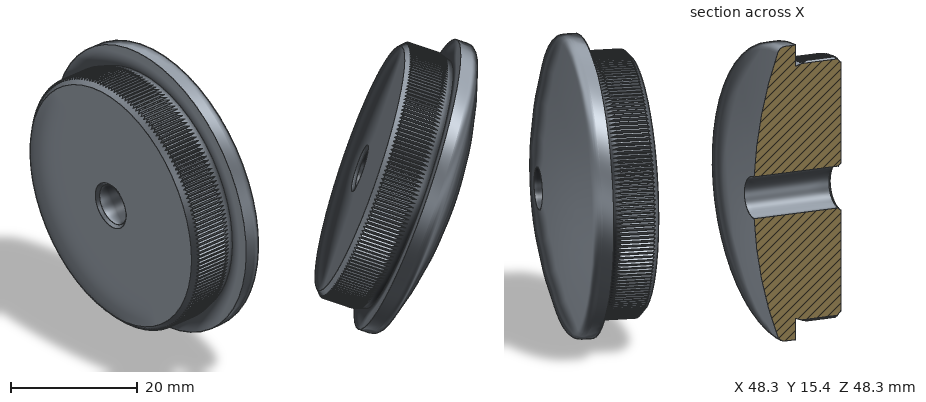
import cadquery as cq
import math

FLANGE_RADIUS = 24.15
TOTAL_LENGTH = 15.35
PLUG_LENGTH = 8.0
RIM_FILLET = 1.5
DOME_RADIUS = 65.5

PLUG_RADIUS = 21.3
PLUG_CHAMFER = 0.95
NECK_RADIUS = 20.65
CONE_LENGTH = 2.1

HOLE_RADIUS = 3.4
HOLE_CHAMFER = 0.5
HOLE_OVERSHOOT = 2.4

TOOTH_COUNT = 190
GROOVE_DEPTH = 0.315
GROOVE_HALF_ANGLE = math.radians(35)
BAR_OVERSHOOT = 0.15


def make_plug():
    """Smooth plug: end chamfer, straight band and a cone narrowing to the flange."""
    return (
        cq.Workplane("YZ")
        .moveTo(0, 0)
        .lineTo(0, PLUG_RADIUS - PLUG_CHAMFER)
        .lineTo(PLUG_CHAMFER, PLUG_RADIUS)
        .lineTo(PLUG_LENGTH - CONE_LENGTH, PLUG_RADIUS)
        .lineTo(PLUG_LENGTH, NECK_RADIUS)
        .lineTo(PLUG_LENGTH, 0)
        .close()
        .revolve(360, (0, 0, 0), (1, 0, 0))
    )


def make_tooth_bar():
    """Bar along +Y, slightly wider than the plug, with V grooves all round and one of them at +Z."""
    root_radius = PLUG_RADIUS - GROOVE_DEPTH
    bar_radius = PLUG_RADIUS + BAR_OVERSHOOT
    groove_half_width = (bar_radius - root_radius) * math.tan(GROOVE_HALF_ANGLE)
    half_span = groove_half_width / bar_radius

    outline = []
    for tooth in range(TOOTH_COUNT):
        root_angle = tooth * 2 * math.pi / TOOTH_COUNT
        for radius, angle in (
            (bar_radius, root_angle - half_span),
            (root_radius, root_angle),
            (bar_radius, root_angle + half_span),
        ):
            outline.append((radius * math.sin(angle), radius * math.cos(angle)))
    return cq.Workplane("XZ").polyline(outline).close().extrude(-PLUG_LENGTH)


def make_flange():
    """Domed flange: straight rim blended by a tangent fillet into a spherical dome."""
    dome_center_y = TOTAL_LENGTH - math.sqrt(DOME_RADIUS**2 - HOLE_RADIUS**2)
    dome_top = dome_center_y + DOME_RADIUS

    fillet_radius = FLANGE_RADIUS - RIM_FILLET
    tilt = math.asin(fillet_radius / (DOME_RADIUS - RIM_FILLET))
    fillet_y = dome_center_y + (DOME_RADIUS - RIM_FILLET) * math.cos(tilt)

    def on_fillet(angle):
        return fillet_y + RIM_FILLET * math.cos(angle), fillet_radius + RIM_FILLET * math.sin(angle)

    def on_dome(angle):
        return dome_center_y + DOME_RADIUS * math.cos(angle), DOME_RADIUS * math.sin(angle)

    return (
        cq.Workplane("YZ")
        .moveTo(PLUG_LENGTH, 0)
        .lineTo(PLUG_LENGTH, FLANGE_RADIUS)
        .lineTo(fillet_y, FLANGE_RADIUS)
        .threePointArc(on_fillet((tilt + math.pi / 2) / 2), on_fillet(tilt))
        .threePointArc(on_dome(tilt / 2), (dome_top, 0))
        .close()
        .revolve(360, (0, 0, 0), (1, 0, 0))
    )


def make_hole():
    """Through hole with a 45 degree chamfer at the plug's end face."""
    length = TOTAL_LENGTH + HOLE_OVERSHOOT
    return (
        cq.Workplane("YZ")
        .moveTo(0, 0)
        .lineTo(0, HOLE_RADIUS + HOLE_CHAMFER)
        .lineTo(HOLE_CHAMFER, HOLE_RADIUS)
        .lineTo(length, HOLE_RADIUS)
        .lineTo(length, 0)
        .close()
        .revolve(360, (0, 0, 0), (1, 0, 0))
    )


knurled_plug = make_plug().intersect(make_tooth_bar())
result = knurled_plug.union(make_flange()).cut(make_hole())